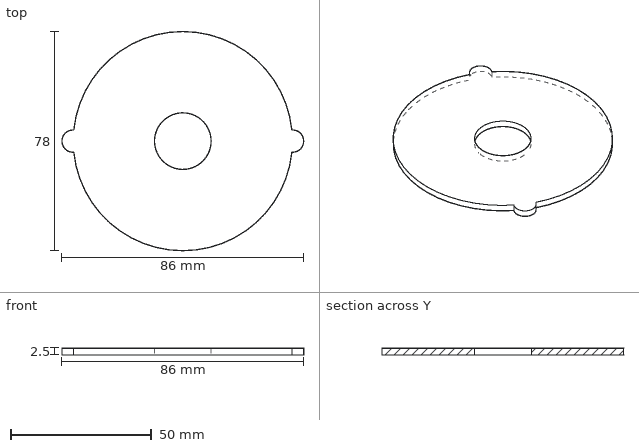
import cadquery as cq

overall_length = 86.0
thickness = 2.5
disc_diameter = 78.0
hole_diameter = 20.0

disc_radius = disc_diameter / 2
tab_radius = overall_length / 2 - disc_radius


def round_plate(x_centre, radius):
    """Flat round plate resting on Z = 0, centred on the X axis."""
    return cq.Workplane("XY").center(x_centre, 0).circle(radius).extrude(thickness)


body = round_plate(0, disc_radius)
for side in (-1, 1):
    body = body.union(round_plate(side * disc_radius, tab_radius))

result = body.cut(round_plate(0, hole_diameter / 2))